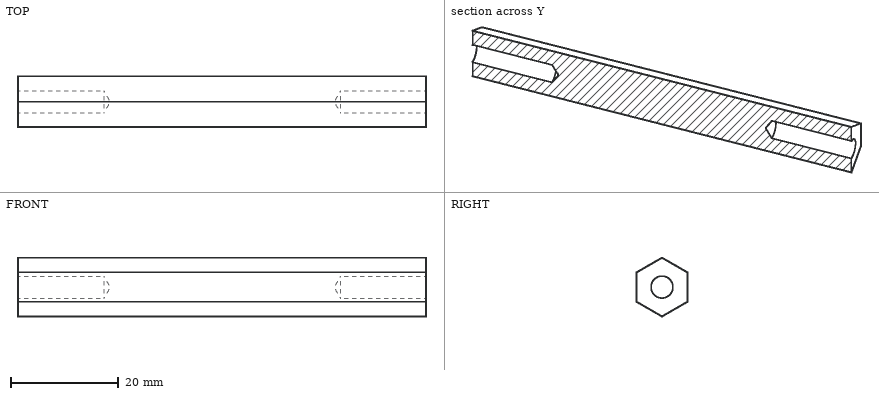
import cadquery as cq
import math

LENGTH = 76.2
SIDES = 6
ACROSS_FLATS = 9.525
ACROSS_CORNERS = ACROSS_FLATS / math.cos(math.pi / SIDES)
CORNER_ANGLE = 90

HOLE_DIAMETER = 4.1
HOLE_DEPTH = 16.0
DRILL_POINT_ANGLE = 118.0


def hex_bar():
    """Hexagonal bar from X = 0 to X = LENGTH, with corners at top and bottom."""
    bar = cq.Workplane("YZ").polygon(SIDES, ACROSS_CORNERS).extrude(LENGTH)
    return bar.rotate((0, 0, 0), (1, 0, 0), CORNER_ANGLE)


def drilled_hole():
    """Cutting tool for the hole in the X = 0 end: a cylinder with a conical drill point."""
    radius = HOLE_DIAMETER / 2
    point_length = radius / math.tan(math.radians(DRILL_POINT_ANGLE / 2))
    half_profile = (
        cq.Workplane("XY")
        .lineTo(0, radius)
        .lineTo(HOLE_DEPTH, radius)
        .lineTo(HOLE_DEPTH + point_length, 0)
        .close()
    )
    return half_profile.revolve(360, (0, 0, 0), (1, 0, 0))


near_hole = drilled_hole()
far_hole = near_hole.mirror("YZ", (LENGTH / 2, 0, 0))
result = hex_bar().cut(near_hole).cut(far_hole)